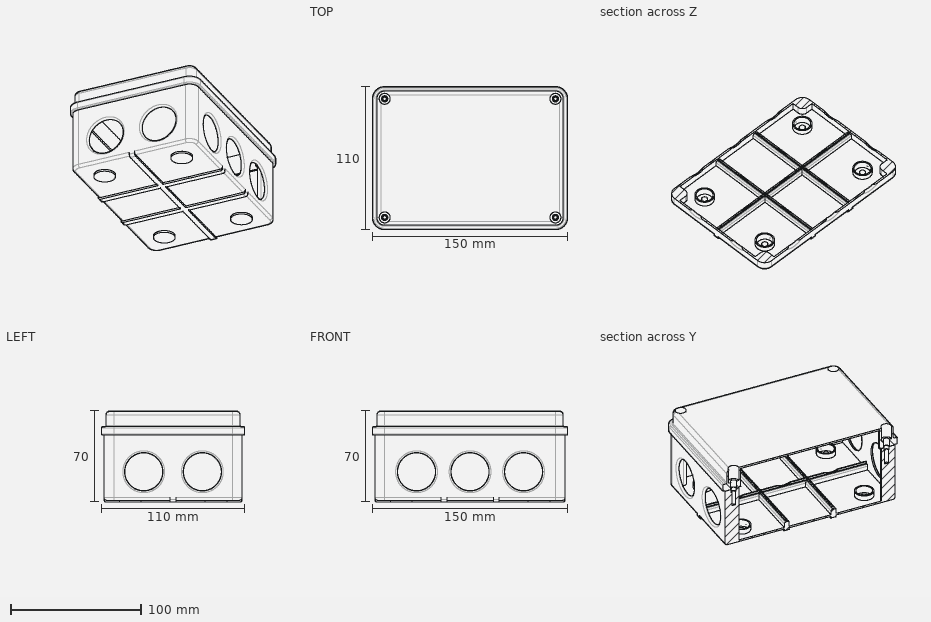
import cadquery as cq
import math

LENGTH = 150.0
WIDTH = 110.0
HEIGHT = 70.0
FLANGE_CORNER_RADIUS = 9.5

WALL = 2.0
SPLIT_Z = 51.6

LID_INSET = 3.5
FLANGE_TOP_Z = 58.0
FLANGE_TOP_ROUND = 1.0
FLANGE_BOTTOM_ROUND = 0.8
LID_FOOT_ROUND = 0.8
LID_TOP_ROUND = 3.0

SCREW_X = LENGTH / 2 - FLANGE_CORNER_RADIUS
SCREW_Y = WIDTH / 2 - FLANGE_CORNER_RADIUS
SCREW_HEAD_RADIUS = 4.2
SCREW_SEAT_Z = FLANGE_TOP_Z
CLEARANCE_RADIUS = 2.4
LID_BOSS_RADIUS = SCREW_HEAD_RADIUS + WALL
POST_RADIUS = 4.6
PILOT_RADIUS = 1.4
PILOT_DEPTH = 15.0
PILOT_LEAD_RADIUS = 2.0
PILOT_LEAD_DEPTH = 3.0

BASE_INSET = 2.0
BASE_LENGTH = LENGTH - 2 * BASE_INSET
BASE_WIDTH = WIDTH - 2 * BASE_INSET
UNDERSIDE_Z = 1.5
FLOOR_Z = UNDERSIDE_Z + WALL
BASE_EDGE_ROUND = 2.1

ENTRY_RADIUS = 14.5
ENTRY_ROUND = 1.5
ENTRY_Z = 23.4
FRONT_ENTRY_PITCH = 41.1
SIDE_ENTRY_PITCH = 45.0

RIB_WIDTH = 4.5
RIB_END_ROUND = 2.0
RIB_SHOULDER_Z = FLOOR_Z + 4.5
RIB_SHOULDER_ROUND = 1.0
RIB_CREST_WIDTH = 0.8
RIB_CREST_HEIGHT = 2.1
CROSS_RIB_X = 20.1

CUP_X = 52.8
CUP_Y = 32.8
CUP_RADIUS = 7.5
CUP_BORE_RADIUS = 6.5
CUP_RIM_Z = 7.6
CUP_FLOOR_Z = 1.6
FOOT_RADIUS = CUP_BORE_RADIUS + WALL
PAD_RADIUS = 2.4
PAD_HEIGHT = 1.5


def block(inset, bottom, top):
    """Round-cornered block whose outline lies `inset` inside the flange outline."""
    return (
        cq.Workplane("XY", origin=(0, 0, bottom))
        .rect(LENGTH - 2 * inset, WIDTH - 2 * inset)
        .extrude(top - bottom)
        .edges("|Z")
        .fillet(FLANGE_CORNER_RADIUS - inset)
    )


def four_cylinders(x, y, radius, bottom, top):
    """Equal upright cylinders at (+-x, +-y)."""
    return (
        cq.Workplane("XY", origin=(0, 0, bottom))
        .rect(2 * x, 2 * y, forConstruction=True)
        .vertices()
        .circle(radius)
        .extrude(top - bottom)
    )


def screw_cylinders(radius, bottom, top):
    return four_cylinders(SCREW_X, SCREW_Y, radius, bottom, top)


def cup_cylinders(radius, bottom, top):
    return four_cylinders(CUP_X, CUP_Y, radius, bottom, top)



def lid_shell():
    """Flange and raised cover, hollow and open below, with solid bosses at the corners."""
    flange = block(0, SPLIT_Z, FLANGE_TOP_Z)
    flange = flange.faces(">Z").edges().fillet(FLANGE_TOP_ROUND)
    flange = flange.faces("<Z").edges().fillet(FLANGE_BOTTOM_ROUND)
    cover = block(LID_INSET, SPLIT_Z, HEIGHT).faces(">Z").edges().fillet(LID_TOP_ROUND)
    shell = flange.union(cover)

    flange_top = shell.faces(cq.NearestToPointSelector((0, 0, FLANGE_TOP_Z))).val()
    foot_edges = flange_top.innerWires()[0].Edges()
    shell = shell.newObject(foot_edges).fillet(LID_FOOT_ROUND)

    bosses = screw_cylinders(LID_BOSS_RADIUS, SPLIT_Z, HEIGHT)
    cavity = block(LID_INSET + WALL, SPLIT_Z, HEIGHT - WALL).cut(bosses)
    return shell.cut(cavity)


def make_lid():
    heads = screw_cylinders(SCREW_HEAD_RADIUS, SCREW_SEAT_Z, HEIGHT)
    shanks = screw_cylinders(CLEARANCE_RADIUS, SPLIT_Z, SCREW_SEAT_Z)
    return lid_shell().cut(heads).cut(shanks)



def screw_posts(interior):
    """Corner posts that fill the corners of the interior, each rounded about its screw."""
    side = 2 * (FLANGE_CORNER_RADIUS + POST_RADIUS)
    return (
        cq.Workplane("XY", origin=(0, 0, FLOOR_Z))
        .rect(LENGTH, WIDTH, forConstruction=True)
        .vertices()
        .rect(side, side)
        .extrude(SPLIT_Z - FLOOR_Z)
        .edges("|Z")
        .fillet(POST_RADIUS)
        .intersect(interior)
    )


def base_shell():
    """Open box with corner posts and stepped pilot holes for the lid screws."""
    outside = block(BASE_INSET, UNDERSIDE_Z, SPLIT_Z).faces("<Z").edges().fillet(BASE_EDGE_ROUND)
    interior = block(BASE_INSET + WALL, FLOOR_Z, SPLIT_Z)
    return (
        outside.cut(interior)
        .union(screw_posts(interior))
        .cut(screw_cylinders(PILOT_RADIUS, SPLIT_Z - PILOT_DEPTH, SPLIT_Z))
        .cut(screw_cylinders(PILOT_LEAD_RADIUS, SPLIT_Z - PILOT_LEAD_DEPTH, SPLIT_Z))
    )


def rib(span):
    """Rib along X from wall to wall: a rounded bar topped by a narrow crest."""
    standing = (True, True, False)
    bar = cq.Workplane("XY").box(span, RIB_WIDTH, RIB_SHOULDER_Z, centered=standing)
    bar = bar.faces(">Z").edges("|X").fillet(RIB_SHOULDER_ROUND)
    bar = bar.faces("<Z").edges("|Y").fillet(RIB_END_ROUND)
    crest = (
        cq.Workplane("XY", origin=(0, 0, RIB_SHOULDER_Z))
        .box(span - 2 * WALL, RIB_CREST_WIDTH, RIB_CREST_HEIGHT, centered=standing)
    )
    return bar.union(crest)


def add_ribs(base):
    base = base.union(rib(BASE_LENGTH))
    cross_rib = rib(BASE_WIDTH).rotate((0, 0, 0), (0, 0, 1), 90)
    for x in (-CROSS_RIB_X, CROSS_RIB_X):
        base = base.union(cross_rib.translate((x, 0, 0)))
    return base


def add_cups(base):
    """Mounting cups: a foot below the floor, a rim above it, and a low pad in the bore."""
    return (
        base.union(cup_cylinders(FOOT_RADIUS, 0, FLOOR_Z))
        .union(cup_cylinders(CUP_RADIUS, FLOOR_Z, CUP_RIM_Z))
        .cut(cup_cylinders(CUP_BORE_RADIUS, CUP_FLOOR_Z, CUP_RIM_Z))
        .union(cup_cylinders(PAD_RADIUS, CUP_FLOOR_Z, CUP_FLOOR_Z + PAD_HEIGHT))
    )


def entry_cutter(span):
    """Bore along Y through two walls `span` apart, with a rounded mouth at each end."""
    end = span / 2
    mouth_radius = ENTRY_RADIUS + ENTRY_ROUND
    mid_arc = ENTRY_ROUND * (1 - math.sqrt(0.5))
    return (
        cq.Workplane("XY")
        .moveTo(0, -end)
        .lineTo(mouth_radius, -end)
        .threePointArc((ENTRY_RADIUS + mid_arc, mid_arc - end), (ENTRY_RADIUS, ENTRY_ROUND - end))
        .lineTo(ENTRY_RADIUS, end - ENTRY_ROUND)
        .threePointArc((ENTRY_RADIUS + mid_arc, end - mid_arc), (mouth_radius, end))
        .lineTo(0, end)
        .close()
        .revolve(360, (0, 0, 0), (0, 1, 0))
        .translate((0, 0, ENTRY_Z))
    )


def cut_entries(base):
    """Three bores through the front and back walls and two through the side walls."""
    front_entry = entry_cutter(BASE_WIDTH)
    for x in (-FRONT_ENTRY_PITCH, 0, FRONT_ENTRY_PITCH):
        base = base.cut(front_entry.translate((x, 0, 0)))
    side_entry = entry_cutter(BASE_LENGTH).rotate((0, 0, 0), (0, 0, 1), 90)
    for y in (-SIDE_ENTRY_PITCH / 2, SIDE_ENTRY_PITCH / 2):
        base = base.cut(side_entry.translate((0, y, 0)))
    return base


def make_base():
    return cut_entries(add_cups(add_ribs(base_shell())))


lid = make_lid()
base = make_base()
result = cq.Compound.makeCompound([base.solids().val(), lid.solids().val()])